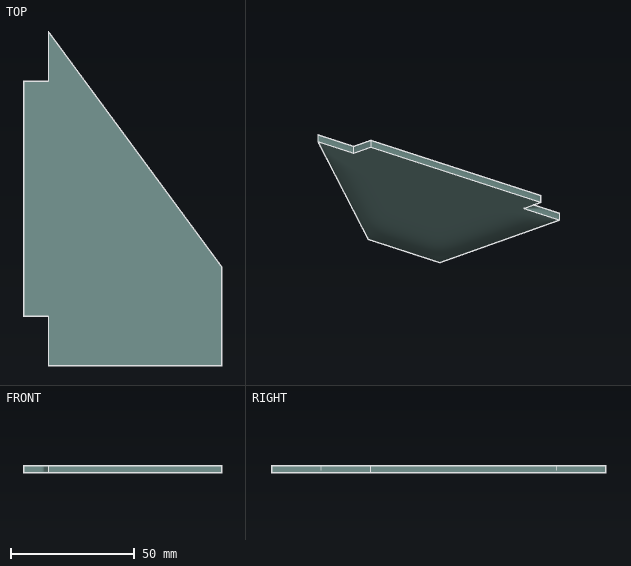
import cadquery as cq

body_width = 70.0
body_length = 135.0
short_edge = 40.0
thickness = 3.0
tab_depth = 10.0
tab_inset = 20.0


def make_body():
    """Flat plate whose sloped edge runs from the right edge up to a sharp tip."""
    outline = [
        (0, 0),
        (body_width, 0),
        (body_width, short_edge),
        (0, body_length),
    ]
    return cq.Workplane("XY").polyline(outline).close().extrude(thickness)


def make_tab():
    """Rectangular tab centred along the left edge of the plate."""
    tab_length = body_length - 2 * tab_inset
    return (
        cq.Workplane("XY")
        .box(tab_depth, tab_length, thickness, centered=False)
        .translate((-tab_depth, tab_inset, 0))
    )


result = make_body().union(make_tab()).clean()